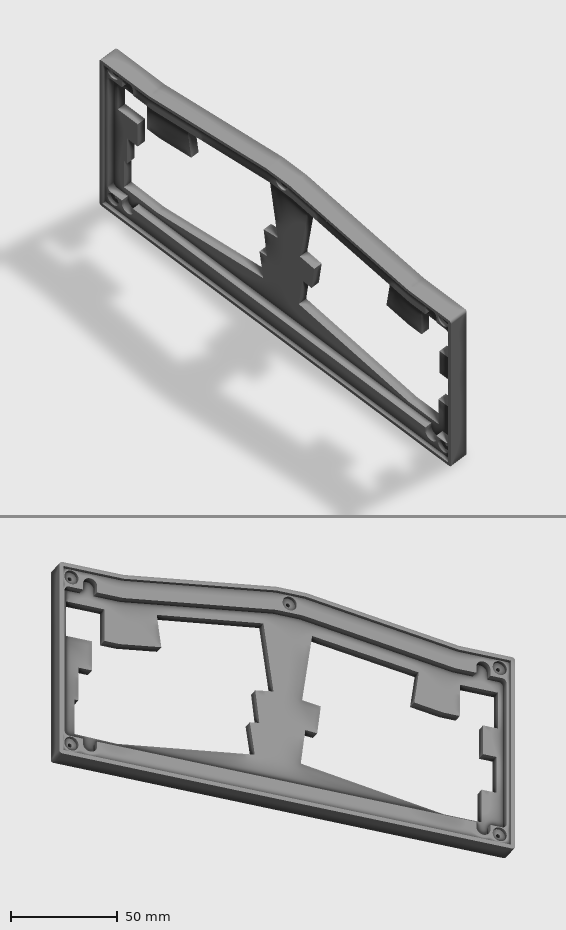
import cadquery as cq
import math

WIDTH = 233.0
DEPTH = 11.0
HEIGHT = 113.3
HALF_WIDTH = WIDTH / 2

ROOF_CENTER_X = 2.0
SHOULDER_HALF_SPAN = 85.8
TOP_HALF_SPAN = 7.7
ROOF_ANGLE = 8.0
ROOF_RISE = (SHOULDER_HALF_SPAN - TOP_HALF_SPAN) * math.tan(math.radians(ROOF_ANGLE))
SHOULDER_Z = HEIGHT - ROOF_RISE

CORNER_RADIUS = 1.5
BACK_EDGE_RADIUS = 1.2

RIM_WALL = 2.0
RIM_DEPTH = 2.0
POCKET_SIDE_INSET = 3.5
POCKET_TOP_INSET = 11.2
POCKET_BOTTOM_INSET = 11.5
POCKET_CORNER_RADIUS = 2.3
PLATE_THICKNESS = 5.0
FLOOR_Y = DEPTH - PLATE_THICKNESS

RELIEF_WIDTH = 7.2
RELIEF_XS = (-100.0, 101.1)
RELIEF_TOP_Z = 97.9
RELIEF_BOTTOM_Z = 5.4

SEAT_DIAMETER = 7.2
SEAT_DEPTH = 2.0
PILOT_DIAMETER = 2.0
PILOT_DEPTH = 5.8
SCREW_X = 109.5
SCREW_TOP_Z = 96.2
SCREW_BOTTOM_Z = 7.5
SCREW_CENTER_Z = 107.0
SCREW_POINTS = [
    (-SCREW_X, SCREW_TOP_Z),
    (SCREW_X, SCREW_TOP_Z),
    (-SCREW_X, SCREW_BOTTOM_Z),
    (SCREW_X, SCREW_BOTTOM_Z),
    (ROOF_CENTER_X, SCREW_CENTER_Z),
]

LEFT_UPPER_X = -110.5
LEFT_LOWER_X = -106.3
INSERT_STEP_Z = 51.3

LEFT_OPENING = [
    (LEFT_UPPER_X, 85.3),
    (-91.0, 85.3),
    (-91.0, 68.5),
    (-83.0, 68.5),
    (-61.8, 71.5),
    (-64.0, 88.3),
    (-9.5, 95.8),
    (-4.5, 60.5),
    (-13.7, 59.2),
    (-11.7, 42.2),
    (-16.5, 41.5),
    (-14.0, 24.7),
    (-84.4, 15.0),
    (LEFT_LOWER_X, 15.4),
    (LEFT_LOWER_X, INSERT_STEP_Z),
    (LEFT_UPPER_X, INSERT_STEP_Z),
]
RIGHT_OPENING = [
    (15.4, 94.5),
    (70.0, 87.2),
    (67.5, 70.5),
    (82.5, 68.5),
    (91.0, 68.5),
    (91.0, 85.3),
    (110.5, 85.3),
    (110.5, 66.2),
    (102.8, 66.2),
    (102.8, 50.8),
    (109.8, 50.8),
    (109.8, 31.7),
    (102.0, 31.7),
    (102.0, 14.2),
    (82.7, 14.2),
    (9.5, 25.2),
    (12.0, 43.5),
    (18.0, 43.0),
    (19.8, 58.0),
    (10.3, 59.2),
]

INSERT_OUTLINE = [
    (-112.0, 70.5),
    (LEFT_UPPER_X, 70.5),
    (LEFT_UPPER_X, 66.9),
    (-97.2, 66.9),
    (-97.2, INSERT_STEP_Z),
    (-104.2, INSERT_STEP_Z),
    (-104.2, 33.8),
    (LEFT_LOWER_X, 33.8),
    (LEFT_LOWER_X, 32.5),
    (-109.0, 32.5),
    (-109.0, INSERT_STEP_Z),
    (-112.0, INSERT_STEP_Z),
]


def front_plane(y):
    """XZ work plane at depth y, with its normal toward -Y."""
    return cq.Workplane("XZ", origin=(0, y, 0))


def prism(points, y_start, y_end):
    """Solid with the given (X, Z) outline between two depths."""
    return front_plane(y_start).polyline(points).close().extrude(y_start - y_end)


def frame_outline(side, top, bottom):
    """Frame outline with its sides, roof and base moved inward by the given insets."""
    kink_shift = top * math.tan(math.radians(ROOF_ANGLE / 2))
    shoulder = SHOULDER_HALF_SPAN - kink_shift
    crest = TOP_HALF_SPAN - kink_shift
    return [
        (-HALF_WIDTH + side, bottom),
        (HALF_WIDTH - side, bottom),
        (HALF_WIDTH - side, SHOULDER_Z - top),
        (ROOF_CENTER_X + shoulder, SHOULDER_Z - top),
        (ROOF_CENTER_X + crest, HEIGHT - top),
        (ROOF_CENTER_X - crest, HEIGHT - top),
        (ROOF_CENTER_X - shoulder, SHOULDER_Z - top),
        (-HALF_WIDTH + side, SHOULDER_Z - top),
    ]


def make_shell():
    """Solid block of the frame with rounded corners and a rounded back edge."""
    shell = prism(frame_outline(0, 0, 0), 0, DEPTH)
    for side in ("<X", ">X"):
        shell = shell.faces(side).edges("|Y").fillet(CORNER_RADIUS)
    return shell.faces(">Y").edges().fillet(BACK_EDGE_RADIUS)


def make_pocket():
    """Deep part of the recess, reaching down to the plate."""
    pocket = prism(
        frame_outline(POCKET_SIDE_INSET, POCKET_TOP_INSET, POCKET_BOTTOM_INSET), 0, FLOOR_Y
    )
    for side in ("<X", ">X"):
        pocket = pocket.faces(side).edges("|Y").fillet(POCKET_CORNER_RADIUS)
    return pocket


def make_relief(x):
    """Tall round-ended slot reaching past the pocket at both ends."""
    length = RELIEF_TOP_Z - RELIEF_BOTTOM_Z
    middle_z = (RELIEF_TOP_Z + RELIEF_BOTTOM_Z) / 2
    return front_plane(0).center(x, middle_z).slot2D(length, RELIEF_WIDTH, 90).extrude(-FLOOR_Y)


def make_screw_holes():
    ledge = front_plane(RIM_DEPTH).pushPoints(SCREW_POINTS)
    seats = ledge.circle(SEAT_DIAMETER / 2).extrude(-SEAT_DEPTH)
    pilots = ledge.circle(PILOT_DIAMETER / 2).extrude(-PILOT_DEPTH)
    return seats.union(pilots)


def make_insert():
    return prism(INSERT_OUTLINE, FLOOR_Y, DEPTH)


def make_housing(insert):
    """Frame and plate in one piece, notched for the insert."""
    housing = make_shell()
    housing = housing.cut(prism(frame_outline(RIM_WALL, RIM_WALL, RIM_WALL), 0, RIM_DEPTH))
    housing = housing.cut(make_pocket())
    for x in RELIEF_XS:
        housing = housing.cut(make_relief(x))
    housing = housing.cut(make_screw_holes())
    for opening in (LEFT_OPENING, RIGHT_OPENING):
        housing = housing.cut(prism(opening, 0, DEPTH))
    return housing.cut(insert)


insert = make_insert()
housing = make_housing(insert)
result = cq.Compound.makeCompound([housing.val(), insert.val()])